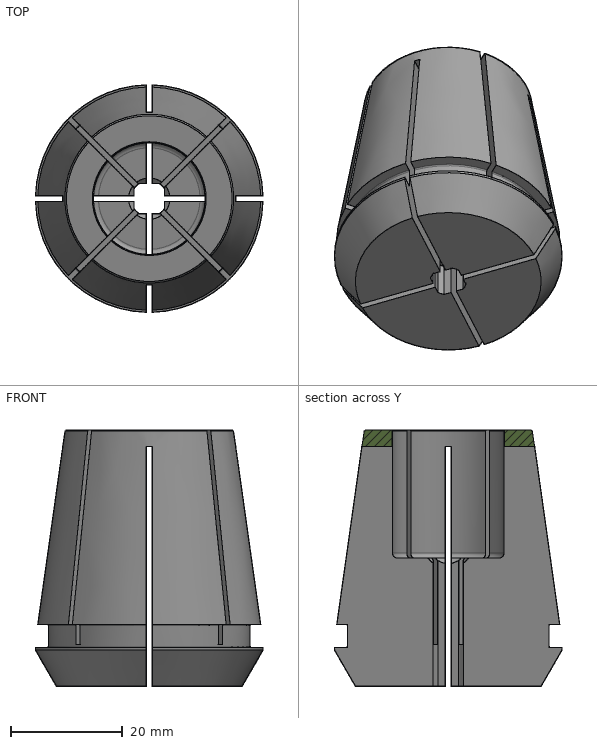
import cadquery as cq
import math

height = 46.0
flange_radius = 20.4
cone_base_radius = 20.0
cone_half_angle = math.radians(8.0)
nose_half_angle = math.radians(30.0)
top_edge_chamfer = 0.25

nose_height = 6.5
groove_bottom = 7.0
groove_top = 11.1
groove_radius = 18.1
groove_corner_round = 0.2

bore_radius = 10.0
bore_floor = 23.0
bore_floor_round = 0.9
bore_mouth_chamfer = 0.2
hole_radius = 3.25
square_width = 5.4
countersink_radius = 3.7

slot_width = 1.0
lower_slot_end_wall = 3.0
upper_slot_bottom = 7.5


def revolve_profile(profile):
    """Close a profile drawn as (radius, height) and revolve it about the Z axis."""
    return profile.close().revolve(360, (0, 0, 0), (0, 1, 0))


def make_body():
    nose_base_radius = flange_radius - nose_height * math.tan(nose_half_angle)
    cone_top_radius = cone_base_radius - (height - groove_top) * math.tan(cone_half_angle)
    profile = (
        cq.Workplane("XZ")
        .moveTo(0, 0)
        .lineTo(nose_base_radius, 0)
        .lineTo(flange_radius, nose_height)
        .lineTo(flange_radius, groove_bottom)
        .lineTo(groove_radius + groove_corner_round, groove_bottom)
        .radiusArc((groove_radius, groove_bottom + groove_corner_round), groove_corner_round)
        .lineTo(groove_radius, groove_top - groove_corner_round)
        .radiusArc((groove_radius + groove_corner_round, groove_top), groove_corner_round)
        .lineTo(cone_base_radius, groove_top)
        .lineTo(cone_top_radius, height)
        .lineTo(0, height)
    )
    return revolve_profile(profile).faces(">Z").edges().chamfer(top_edge_chamfer)


def make_relief_bore():
    profile = (
        cq.Workplane("XZ")
        .moveTo(0, bore_floor)
        .lineTo(bore_radius - bore_floor_round, bore_floor)
        .radiusArc((bore_radius, bore_floor + bore_floor_round), -bore_floor_round)
        .lineTo(bore_radius, height - bore_mouth_chamfer)
        .lineTo(bore_radius + bore_mouth_chamfer, height)
        .lineTo(0, height)
    )
    return revolve_profile(profile)


def make_driving_hole():
    """Square hole with its corners cut back to a circle, countersunk at the bore floor."""
    round_hole = cq.Workplane("XY").circle(hole_radius).extrude(bore_floor)
    square_hole = cq.Workplane("XY").rect(square_width, square_width).extrude(bore_floor)
    countersink_depth = countersink_radius - square_width / 2
    countersink = revolve_profile(
        cq.Workplane("XZ")
        .moveTo(0, bore_floor - countersink_depth)
        .lineTo(square_width / 2, bore_floor - countersink_depth)
        .lineTo(countersink_radius, bore_floor)
        .lineTo(0, bore_floor)
    )
    return round_hole.intersect(square_hole).union(countersink)


def make_slot_cross(bottom, top, start_angle):
    """Two perpendicular slots across the whole diameter between two heights."""
    cross = cq.Workplane("XY")
    slot_length = 2 * flange_radius + 2 * slot_width
    for angle in (start_angle, start_angle + 90):
        slot = (
            cq.Workplane("XY")
            .workplane(offset=bottom)
            .rect(slot_length, slot_width)
            .extrude(top - bottom)
            .rotate((0, 0, 0), (0, 0, 1), angle)
        )
        cross = cross.add(slot)
    return cross.combine()


body = make_body().cut(make_relief_bore()).cut(make_driving_hole())
lower_slots = make_slot_cross(0, height - lower_slot_end_wall, 0)
upper_slots = make_slot_cross(upper_slot_bottom, height, 45)
result = body.cut(lower_slots).cut(upper_slots)